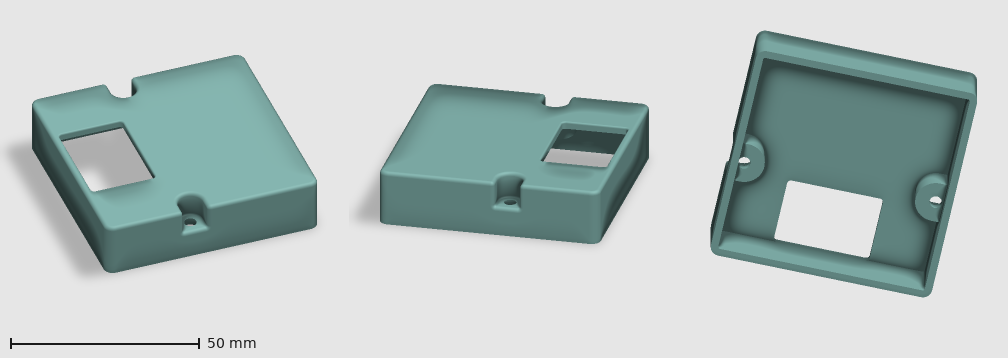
import cadquery as cq

side = 60.0
height = 15.0
wall = 2.0
corner_radius = 2.5
edge_radius = 1.0

hole_diameter = 3.3
hole_inset = 4.0
hole_y = -5.0
pocket_radius = 3.5
pocket_floor = 8.0
pocket_floor_radius = 0.5

window_length = 26.0
window_width = 18.0
window_corner_radius = 1.0
window_edge_radius = 0.5

half_side = side / 2
hole_x = half_side - hole_inset
window_y = -half_side + wall + window_width / 2


def rounded_block(length, width, block_height, radius):
    """Block centred on the Z axis, standing on Z = 0, with rounded vertical edges."""
    block = cq.Workplane("XY").box(length, width, block_height, centered=(True, True, False))
    return block.edges("|Z").fillet(radius)


def side_slot(direction, radius, block_height, side_overrun=0.0):
    """Round-ended block around a screw hole, running out to the side wall at -X or +X."""
    reach = hole_inset + side_overrun
    arm = (
        cq.Workplane("XY")
        .center(direction * (hole_x + reach / 2), hole_y)
        .rect(reach, 2 * radius)
        .extrude(block_height)
    )
    end = cq.Workplane("XY").center(direction * hole_x, hole_y).circle(radius).extrude(block_height)
    return arm.union(end)


def screw_pocket(direction):
    """Volume removed above a screw, open to the side and top, with a rounded floor edge."""
    pocket = side_slot(direction, pocket_radius, height, side_overrun=pocket_radius)
    return pocket.faces("<Z").edges().fillet(pocket_floor_radius).translate((0, 0, pocket_floor))


body = rounded_block(side, side, height, corner_radius)
for direction in (-1, 1):
    body = body.cut(screw_pocket(direction))

mouth_zone = cq.selectors.BoxSelector(
    (-side, hole_y - pocket_radius - wall, pocket_floor - wall),
    (side, hole_y + pocket_radius + wall, height - wall),
)
top_edges = body.faces(">Z").edges().vals()
mouth_edges = body.faces("<X or >X").edges(mouth_zone).vals()
body = body.newObject(top_edges + mouth_edges).fillet(edge_radius)

cavity = rounded_block(side - 2 * wall, side - 2 * wall, height - wall, corner_radius - wall)
for direction in (-1, 1):
    housing = side_slot(direction, pocket_radius + wall, height)
    cavity = cavity.cut(housing.translate((0, 0, pocket_floor - wall)))
body = body.cut(cavity)

body = body.cut(
    cq.Workplane("XY")
    .pushPoints([(-hole_x, hole_y), (hole_x, hole_y)])
    .circle(hole_diameter / 2)
    .extrude(height)
)

window = rounded_block(window_length, window_width, height, window_corner_radius)
body = body.cut(window.translate((0, window_y, 0)))
rim = body.faces(">Z").val().innerWires()
result = body.newObject(rim[0].Edges()).fillet(window_edge_radius)